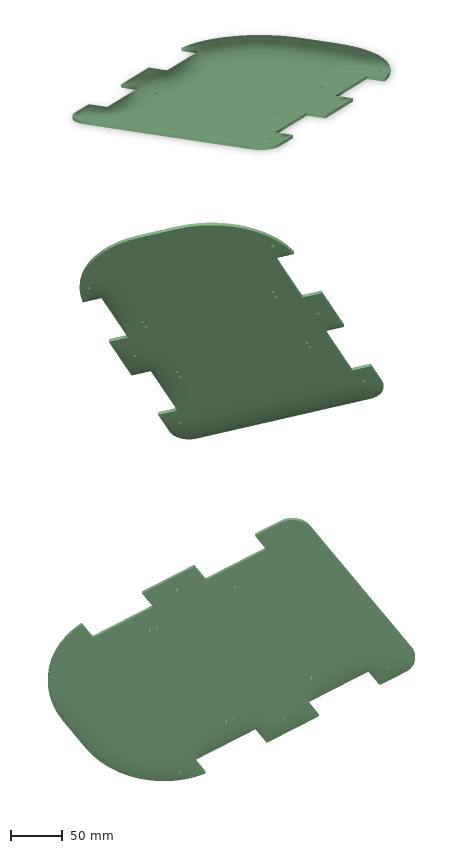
import cadquery as cq
import math

width = 220.0
length = 330.0
thickness = 3.2
rear_corner_radius = 20.0
front_corner_radius = 90.0

body_width = 180.2
notch_length = 70.0
tab_center_y = 150.0
tab_length = 60.0

hole_diameter = 3.0
edge_hole_x = 95.0
edge_hole_pitch = 120.0
inner_hole_x = 67.3
pair_offset = 45.0
pair_spacing = 8.2

half_width = width / 2
notch_x = body_width / 2
rear_notch_start = tab_center_y - tab_length / 2 - notch_length
rear_notch_end = tab_center_y - tab_length / 2
front_notch_start = tab_center_y + tab_length / 2
front_notch_end = front_notch_start + notch_length

arc_center_x = half_width - front_corner_radius
arc_center_y = length - front_corner_radius
arc_start_angle = math.asin((front_notch_end - arc_center_y) / front_corner_radius)
arc_middle_angle = (arc_start_angle + math.pi / 2) / 2


def front_arc_point(angle):
    """Point on the right front corner arc."""
    return (
        arc_center_x + front_corner_radius * math.cos(angle),
        arc_center_y + front_corner_radius * math.sin(angle),
    )


def rear_arc_middle():
    """Middle point of the right rear corner arc."""
    reach = rear_corner_radius * math.sqrt(0.5)
    return (half_width - rear_corner_radius + reach, rear_corner_radius - reach)


def make_plate():
    """Right half of the plate, mirrored about the YZ plane."""
    outline = (
        cq.Workplane("XY")
        .moveTo(0, 0)
        .lineTo(half_width - rear_corner_radius, 0)
        .threePointArc(rear_arc_middle(), (half_width, rear_corner_radius))
        .lineTo(half_width, rear_notch_start)
        .lineTo(notch_x, rear_notch_start)
        .lineTo(notch_x, rear_notch_end)
        .lineTo(half_width, rear_notch_end)
        .lineTo(half_width, front_notch_start)
        .lineTo(notch_x, front_notch_start)
        .lineTo(notch_x, front_notch_end)
        .lineTo(*front_arc_point(arc_start_angle))
        .threePointArc(front_arc_point(arc_middle_angle), (arc_center_x, length))
        .lineTo(0, length)
        .mirrorY()
    )
    return outline.extrude(thickness)


def hole_positions():
    """Edge holes plus close pairs of inner holes, on both sides."""
    points = []
    for side in (-1, 1):
        for step in (-1, 0, 1):
            points.append((side * edge_hole_x, tab_center_y + step * edge_hole_pitch))
        for pair in (-1, 1):
            for end in (-1, 1):
                y = tab_center_y + pair * pair_offset + end * pair_spacing / 2
                points.append((side * inner_hole_x, y))
    return points


holes = cq.Workplane("XY").pushPoints(hole_positions()).circle(hole_diameter / 2).extrude(thickness)
result = make_plate().cut(holes)